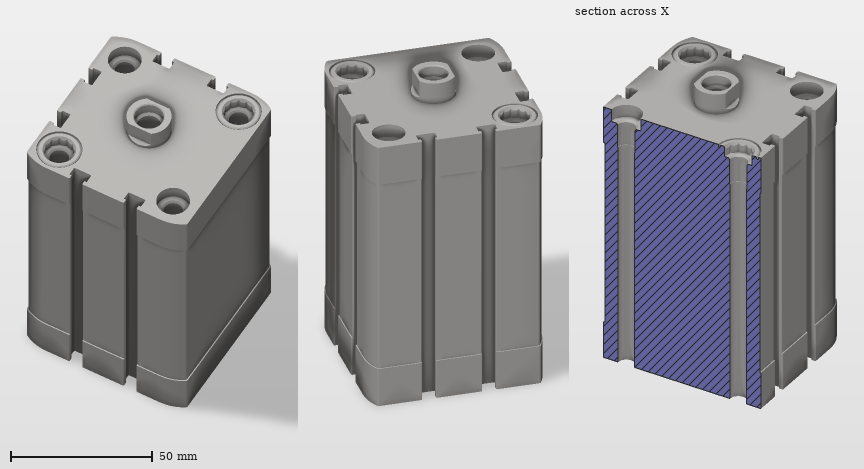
import cadquery as cq
import math

side = 65.5
total_height = 113.2
rod_protrusion = 8.3
housing_height = total_height - rod_protrusion

cap_height = 15.0
barrel_inset = 0.5
hole_pitch = 46.5
corner_radius = 17.3
corner_edge_fillet = 1.0

slot_spacing = 22.2
slot_neck_width = 5.2
slot_neck_depth = 1.7
slot_width = 7.0
slot_depth = 5.1
slot_fillet = 0.3

through_diameter = 6.7
end_hole_diameter = 7.0
countersink_diameter = 8.4
counterbore_diameter = 12.0
counterbore_depth = 5.0

ring_outer_diameter = 16.4
ring_inner_diameter = 15.5
ring_depth = 0.9
ring_chamfer = 0.5
socket_depth = 4.2
socket_mouth_diameter = 12.0
socket_point_diameter = 11.3
socket_core_diameter = 10.5
socket_cone_depth = 1.2

rod_diameter = 16.0
rod_length = rod_protrusion + cap_height
rod_bottom = total_height - rod_length
flat_width = 13.0
flat_height = 6.5
flat_runout_angle = 30.0
rod_hole_mouth_diameter = 11.3
rod_bore_diameter = 10.5
rod_bore_depth = 4.4
rod_drill_diameter = 8.6
rod_step_depth = 0.8
rod_drill_depth = 13.6
drill_point_angle = 118.0

half_side = side / 2
half_pitch = hole_pitch / 2


def revolve_profile(points):
    """Solid of revolution about Z from (radius, height) points."""
    return cq.Workplane("XZ").polyline(points).close().revolve(360, (0, 0), (0, 1))


def outline_block(inset, bottom, height):
    """Block with large arcs at its four corners, shrunk by inset on every side."""
    half = half_side - inset
    radius = corner_radius - inset
    arc_center_y = half - radius
    arc_width = half - half_pitch
    corner_y = arc_center_y + math.sqrt(radius**2 - arc_width**2)
    mid_angle = math.asin(arc_width / radius) / 2
    mid_x = half_pitch + radius * math.sin(mid_angle)
    mid_y = arc_center_y + radius * math.cos(mid_angle)
    return (
        cq.Workplane("XY", origin=(0, 0, bottom))
        .moveTo(-half_pitch, half)
        .lineTo(half_pitch, half)
        .threePointArc((mid_x, mid_y), (half, corner_y))
        .lineTo(half, -corner_y)
        .threePointArc((mid_x, -mid_y), (half_pitch, -half))
        .lineTo(-half_pitch, -half)
        .threePointArc((-mid_x, -mid_y), (-half, -corner_y))
        .lineTo(-half, corner_y)
        .threePointArc((-mid_x, mid_y), (-half_pitch, half))
        .close()
        .extrude(height)
        .edges("|Z")
        .edges(">X or <X")
        .fillet(corner_edge_fillet)
    )


def slot_pair(inset, bottom, height):
    """Two T-slot cutters for the -Y face, with mouths rounded into a face shrunk by inset."""
    face = -half_side + inset
    shelf = -half_side + slot_neck_depth
    floor = -half_side + slot_depth
    neck = slot_neck_width / 2
    wall = slot_width / 2
    r = slot_fillet
    arc_inset = r * (1 - math.sqrt(0.5))
    slot = (
        cq.Workplane("XY", origin=(0, 0, bottom))
        .moveTo(-neck - r, face)
        .lineTo(neck + r, face)
        .threePointArc((neck + arc_inset, face + arc_inset), (neck, face + r))
        .lineTo(neck, shelf)
        .lineTo(wall, shelf)
        .lineTo(wall, floor - r)
        .threePointArc((wall - arc_inset, floor - arc_inset), (wall - r, floor))
        .lineTo(-wall + r, floor)
        .threePointArc((-wall + arc_inset, floor - arc_inset), (-wall, floor - r))
        .lineTo(-wall, shelf)
        .lineTo(-neck, shelf)
        .lineTo(-neck, face + r)
        .threePointArc((-neck - arc_inset, face + arc_inset), (-neck - r, face))
        .close()
        .extrude(height)
    )
    right_slot = slot.translate((slot_spacing / 2, 0, 0))
    left_slot = slot.translate((-slot_spacing / 2, 0, 0))
    return right_slot.union(left_slot)


def slotted_section(inset, bottom, height):
    """Length of the housing with T-slots on its -Y, -X and +Y faces; its +X face is plain."""
    section = outline_block(inset, bottom, height)
    slots = slot_pair(inset, bottom, height)
    for angle in (0, -90, 180):
        section = section.cut(slots.rotate((0, 0, 0), (0, 0, 1), angle))
    return section


def through_hole(recess_depth):
    """Through hole, wider inside the upper cap, with a 45 degree countersink below its recess."""
    hole_radius = through_diameter / 2
    end_radius = end_hole_diameter / 2
    cap_bottom = housing_height - cap_height
    sink_radius = countersink_diameter / 2
    floor = housing_height - recess_depth
    return revolve_profile([
        (0, 0),
        (hole_radius, 0),
        (hole_radius, cap_bottom),
        (end_radius, cap_bottom),
        (end_radius, floor - (sink_radius - end_radius)),
        (sink_radius, floor),
        (0, floor),
    ])


def counterbore():
    """Plain round recess above the through hole."""
    floor = housing_height - counterbore_depth
    return (
        cq.Workplane("XY", origin=(0, 0, floor))
        .circle(counterbore_diameter / 2)
        .extrude(counterbore_depth)
    )


def ring_groove():
    """Shallow groove around a socket, chamfered on its inner rim."""
    inner = ring_inner_diameter / 2
    outer = ring_outer_diameter / 2
    return revolve_profile([
        (inner, housing_height - ring_depth),
        (outer, housing_height - ring_depth),
        (outer, housing_height),
        (inner - ring_chamfer, housing_height),
        (inner, housing_height - ring_chamfer),
    ])


def twelve_point_socket():
    """Socket made of two crossed hexagons and a round core below a conical mouth."""
    floor = housing_height - socket_depth
    core_radius = socket_core_diameter / 2
    base = cq.Workplane("XY", origin=(0, 0, floor))
    socket = base.circle(core_radius).extrude(socket_depth)
    hexagon = base.polygon(6, socket_point_diameter).extrude(socket_depth)
    for angle in (0, 30):
        socket = socket.union(hexagon.rotate((0, 0, 0), (0, 0, 1), angle))
    mouth_cone = revolve_profile([
        (0, housing_height - socket_cone_depth),
        (core_radius, housing_height - socket_cone_depth),
        (socket_mouth_diameter / 2, housing_height),
        (0, housing_height),
    ])
    return socket.union(mouth_cone)


def make_housing():
    """Two end caps and the barrel between them, with slots, corner holes and rod bore."""
    barrel_height = housing_height - 2 * cap_height
    housing = (
        slotted_section(0, 0, cap_height)
        .union(slotted_section(barrel_inset, cap_height, barrel_height))
        .union(slotted_section(0, housing_height - cap_height, cap_height))
    )

    for x_sign in (-1, 1):
        for y_sign in (-1, 1):
            corner = (x_sign * half_pitch, y_sign * half_pitch, 0)
            if x_sign == y_sign:
                housing = housing.cut(through_hole(socket_depth).translate(corner))
                housing = housing.cut(twelve_point_socket().translate(corner))
                housing = housing.cut(ring_groove().translate(corner))
            else:
                housing = housing.cut(through_hole(counterbore_depth).translate(corner))
                housing = housing.cut(counterbore().translate(corner))

    rod_bore = cq.Workplane("XY", origin=(0, 0, rod_bottom)).circle(rod_diameter / 2).extrude(rod_length)
    return housing.cut(rod_bore)


def wrench_flat():
    """Cutter for the -Y wrench flat, ending in a shoulder that slopes down and outward."""
    flat_y = -flat_width / 2
    outer_y = -rod_diameter / 2
    flat_bottom = total_height - flat_height
    runout_drop = (flat_y - outer_y) * math.tan(math.radians(flat_runout_angle))
    return (
        cq.Workplane("YZ")
        .polyline([
            (flat_y, total_height),
            (flat_y, flat_bottom),
            (outer_y, flat_bottom - runout_drop),
            (outer_y, total_height),
        ])
        .close()
        .extrude(rod_diameter / 2, both=True)
    )


def rod_hole():
    """Stepped blind hole in the rod: chamfered mouth, bore, cone, drill and drill point."""
    mouth = rod_hole_mouth_diameter / 2
    bore = rod_bore_diameter / 2
    drill = rod_drill_diameter / 2
    point_height = drill / math.tan(math.radians(drill_point_angle / 2))
    return revolve_profile([
        (0, total_height),
        (mouth, total_height),
        (bore, total_height - (mouth - bore)),
        (bore, total_height - rod_bore_depth),
        (drill, total_height - rod_bore_depth - rod_step_depth),
        (drill, total_height - rod_drill_depth),
        (0, total_height - rod_drill_depth - point_height),
    ])


def make_piston_rod():
    """Round rod with two wrench flats and a stepped hole in its top end."""
    rod = cq.Workplane("XY", origin=(0, 0, rod_bottom)).circle(rod_diameter / 2).extrude(rod_length)
    for angle in (0, 180):
        rod = rod.cut(wrench_flat().rotate((0, 0, 0), (0, 0, 1), angle))
    return rod.cut(rod_hole())


housing = make_housing()
piston_rod = make_piston_rod()

result = cq.Compound.makeCompound([housing.val(), piston_rod.val()])